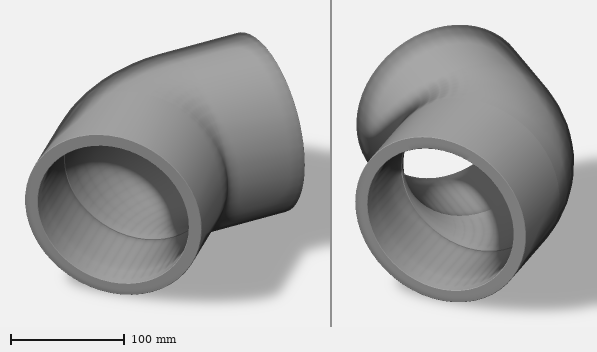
import cadquery as cq
import math

outer_diameter = 164.0
bore_diameter = 140.0
bend_bore_diameter = 138.0
bend_angle = 45
bend_radius = 82.9
overall_length = 246.6
mouth_chamfer = 0.5

sin_bend = math.sin(math.radians(bend_angle))
bend_reach = (bend_radius + outer_diameter / 2) * sin_bend
chamfer_setback = mouth_chamfer * sin_bend
leg_length = (overall_length - bend_reach + chamfer_setback) / (1 + sin_bend)


def ring(bore):
    """Pipe wall section where the straight leg meets the bend."""
    section = cq.Workplane("XZ").center(-bend_radius, 0)
    return section.circle(outer_diameter / 2).circle(bore / 2)


def leg():
    """Straight leg along -Y, chamfered inside and outside at its mouth."""
    return ring(bore_diameter).extrude(leg_length).faces("<Y").edges().chamfer(mouth_chamfer)


bend = ring(bend_bore_diameter).revolve(bend_angle, (bend_radius, 0), (bend_radius, -1))

angled_leg = leg().mirror("XZ").rotate((0, 0, 0), (0, 0, 1), -bend_angle)

result = leg().union(bend).union(angled_leg)